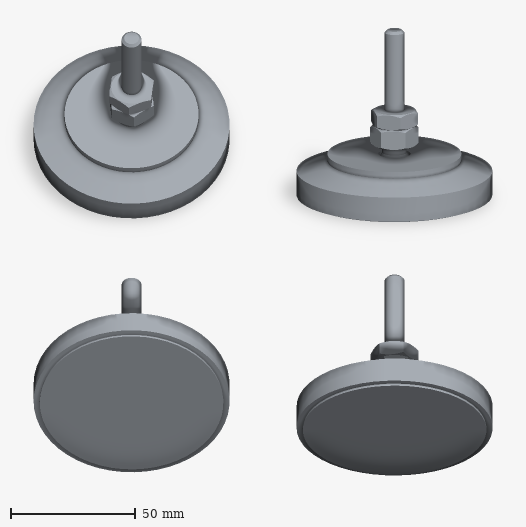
import cadquery as cq
import math

HOUSING_BOTTOM = 0.95
SHOULDER_Z = 11.0
CONE_TOP_Z = 15.3
HOUSING_TOP = 18.1
BALL_TOP_Z = 18.7
HEX_BOTTOM = 21.9
NUT_BOTTOM = 30.1
NUT_TOP = 36.6
STUD_TOP = 70.0

HOUSING_DIAMETER = 79.0
BOSS_DIAMETER = 54.0
PAD_DIAMETER = 74.0

BALL_DIAMETER = 12.95
NECK_DIAMETER = 9.9
SHANK_DIAMETER = 8.0
TIP_CHAMFER = 1.0

ACROSS_FLATS = 17.0
FACE_DIAMETER = 16.4
HEX_CHAMFER_ANGLE = 30.0
STUD_HEX_TURN = -17.5
NUT_TURN = 30.0

BALL_CENTRE_Z = BALL_TOP_Z - math.sqrt((BALL_DIAMETER / 2) ** 2 - (NECK_DIAMETER / 2) ** 2)


def cylinder(diameter, bottom, top):
    """Upright cylinder on the Z axis between two heights."""
    return cq.Workplane("XY").workplane(offset=bottom).circle(diameter / 2).extrude(top - bottom)


def chamfered_hexagon(bottom, top, turn):
    """Hexagonal prism with conically chamfered corners and one corner at angle turn."""
    corner_radius = ACROSS_FLATS / 2 / math.cos(math.pi / 6)
    face_radius = FACE_DIAMETER / 2
    drop = (corner_radius - face_radius) * math.tan(math.radians(HEX_CHAMFER_ANGLE))
    prism = (
        cq.Workplane("XY")
        .workplane(offset=bottom)
        .polygon(6, 2 * corner_radius)
        .extrude(top - bottom)
        .rotate((0, 0, 0), (0, 0, 1), turn)
    )
    envelope = (
        cq.Workplane("XZ")
        .moveTo(0, bottom)
        .lineTo(face_radius, bottom)
        .lineTo(corner_radius, bottom + drop)
        .lineTo(corner_radius, top - drop)
        .lineTo(face_radius, top)
        .lineTo(0, top)
        .close()
        .revolve(360, (0, 0), (0, 1))
    )
    return prism.intersect(envelope)


def make_ball():
    return cq.Workplane("XY").sphere(BALL_DIAMETER / 2).translate((0, 0, BALL_CENTRE_Z))


def make_pad():
    """Flat disc under the housing."""
    return cylinder(PAD_DIAMETER, 0, HOUSING_BOTTOM)


def make_housing():
    """Conical foot with a raised boss and a socket for the ball."""
    body = (
        cq.Workplane("XZ")
        .moveTo(0, HOUSING_BOTTOM)
        .lineTo(HOUSING_DIAMETER / 2, HOUSING_BOTTOM)
        .lineTo(HOUSING_DIAMETER / 2, SHOULDER_Z)
        .lineTo(BOSS_DIAMETER / 2, CONE_TOP_Z)
        .lineTo(BOSS_DIAMETER / 2, HOUSING_TOP)
        .lineTo(0, HOUSING_TOP)
        .close()
        .revolve(360, (0, 0), (0, 1))
    )
    socket_mouth = cylinder(BALL_DIAMETER, BALL_CENTRE_Z, HOUSING_TOP)
    return body.cut(make_ball()).cut(socket_mouth)


def make_stud():
    """Ball, neck, hexagon and chamfered shank in one piece."""
    shank = cylinder(SHANK_DIAMETER, HEX_BOTTOM, STUD_TOP).faces(">Z").chamfer(TIP_CHAMFER)
    neck = cylinder(NECK_DIAMETER, BALL_CENTRE_Z, HEX_BOTTOM)
    hexagon = chamfered_hexagon(HEX_BOTTOM, NUT_BOTTOM, STUD_HEX_TURN)
    return make_ball().union(neck).union(hexagon).union(shank)


def make_nut():
    """Lock nut resting on the stud hexagon."""
    bore = cylinder(SHANK_DIAMETER, NUT_BOTTOM, NUT_TOP)
    return chamfered_hexagon(NUT_BOTTOM, NUT_TOP, NUT_TURN).cut(bore)


pad = make_pad()
housing = make_housing()
stud = make_stud()
nut = make_nut()

result = cq.Compound.makeCompound([pad.val(), housing.val(), stud.val(), nut.val()])